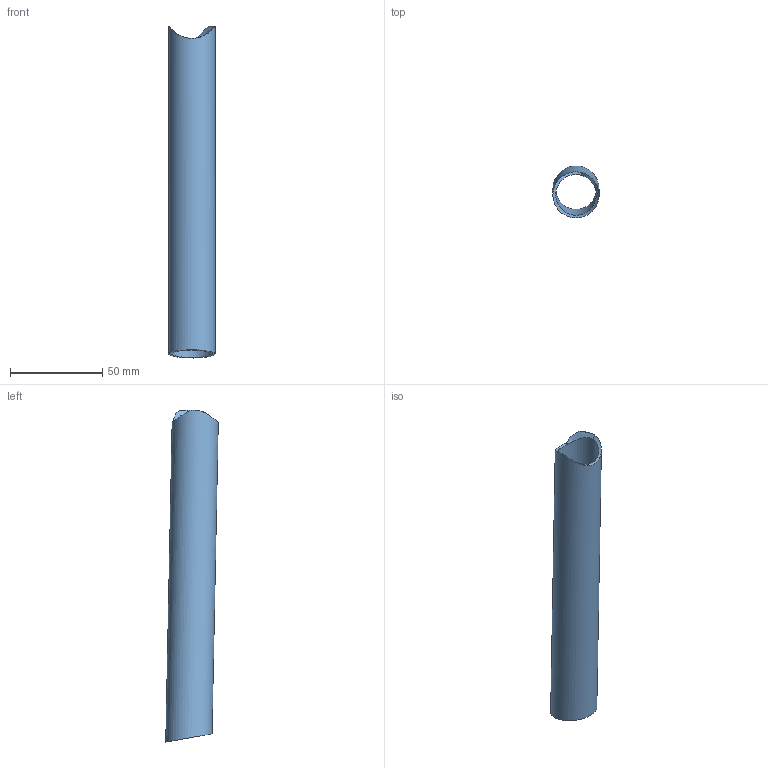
import cadquery as cq
import math

outer_diameter = 25.0
wall = 1.5
tilt = 1.147
overall_height = 179.92

mitre_angle = 10.0

saddle_radius = 15.0

lip_end_angle = 76.0
lip_level_angle = 35.0
lip_steps = 12

outer_radius = outer_diameter / 2
inner_radius = outer_radius - wall
saddle_axis_z = overall_height + math.sqrt(saddle_radius**2 - outer_radius**2)
cutter_size = 4 * outer_diameter
end_margin = 20.0


def tilted_tube():
    """Straight tube, longer than the part at both ends, leaning in the YZ plane."""
    ring = cq.Workplane("XY").circle(outer_radius).circle(inner_radius)
    tube = ring.extrude(overall_height + 2 * end_margin).translate((0, 0, -end_margin))
    return tube.rotate((0, 0, 0), (1, 0, 0), tilt)


def mitre_cutter():
    """Block whose sloping top passes through the lowest tip of the tube at Z = 0."""
    tip_y = outer_radius / math.cos(math.radians(tilt))
    block = cq.Workplane("XY").box(cutter_size, cutter_size, cutter_size)
    block = block.translate((0, 0, -cutter_size / 2))
    block = block.rotate((0, 0, 0), (1, 0, 0), -mitre_angle)
    return block.translate((0, tip_y, 0))


def saddle_z(x):
    return saddle_axis_z - math.sqrt(saddle_radius**2 - x**2)


def saddle_cutter():
    """Rod along Y less the lip, with everything above the saddle tips."""
    profile = cq.Workplane("XZ").center(0, saddle_axis_z).circle(saddle_radius)
    rod = profile.extrude(cutter_size / 2, both=True)
    cap = cq.Workplane("XY").box(cutter_size, cutter_size, cutter_size)
    return rod.cut(lip()).union(cap.translate((0, 0, overall_height + cutter_size / 2)))


def lip_rim_z(angle):
    """Height of the lip's outer edge: level, then a parabola down to the saddle."""
    drop = overall_height - saddle_z(outer_radius * math.cos(math.radians(lip_end_angle)))
    run = max(0.0, angle - lip_level_angle) / (lip_end_angle - lip_level_angle)
    return overall_height - drop * run**2


def lip():
    """Curved wedge rising from the saddle on the bore to the lip's outer edge."""
    overlap = 0.5
    depth = 10.0
    axis_y = -overall_height * math.tan(math.radians(tilt))
    near_radius = inner_radius - overlap
    far_radius = outer_radius + overlap

    def point(radius, angle, lowered):
        turn = math.radians(angle)
        bore_z = saddle_z(inner_radius * math.cos(turn))
        slope = (lip_rim_z(angle) - bore_z) / wall
        z = bore_z + slope * (radius - inner_radius) - lowered
        return cq.Vector(radius * math.cos(turn), axis_y + radius * math.sin(turn), z)

    def edge_curve(radius, lowered):
        angles = [lip_end_angle * step / lip_steps for step in range(lip_steps + 1)]
        return cq.Edge.makeSpline([point(radius, angle, lowered) for angle in angles])

    def end_face(angle):
        corners = [(near_radius, 0), (far_radius, 0), (far_radius, depth), (near_radius, depth)]
        points = [point(radius, angle, lowered) for radius, lowered in corners]
        return cq.Face.makeFromWires(cq.Wire.makePolygon(points, close=True))

    curves = [
        edge_curve(near_radius, 0),
        edge_curve(far_radius, 0),
        edge_curve(far_radius, depth),
        edge_curve(near_radius, depth),
    ]
    sides = [cq.Face.makeRuledSurface(curves[i - 1], curves[i]) for i in range(len(curves))]
    shell = cq.Shell.makeShell(sides + [end_face(0), end_face(lip_end_angle)])
    return cq.Workplane(cq.Solid.makeSolid(shell).fix())


result = tilted_tube().cut(mitre_cutter()).cut(saddle_cutter())